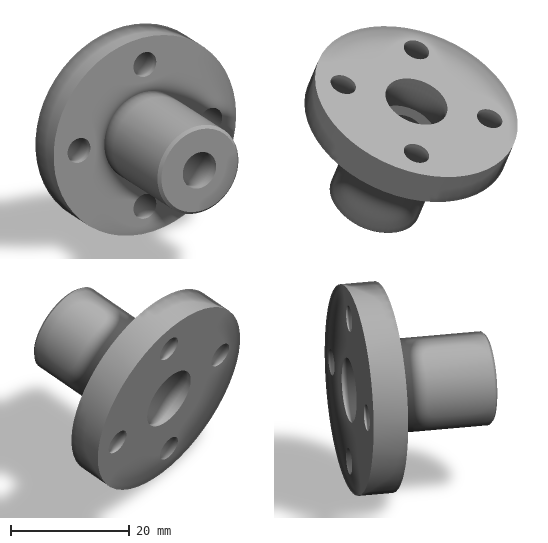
import cadquery as cq

flange_diameter = 36.0
flange_thickness = 6.0

sleeve_diameter = 16.0
overall_length = 24.0
sleeve_length = overall_length - flange_thickness
end_chamfer = 0.5

bore_diameter = 6.6
counterbore_diameter = 11.0
counterbore_depth = 6.5

bolt_hole_diameter = 4.5
bolt_circle_radius = 13.0
bolt_hole_count = 4


def cylinder_along_x(diameter, start, length):
    """Solid cylinder on the X axis, from start towards +X."""
    return cq.Workplane("YZ", origin=(start, 0, 0)).circle(diameter / 2).extrude(length)


flange = cylinder_along_x(flange_diameter, 0, flange_thickness)
sleeve = cylinder_along_x(sleeve_diameter, flange_thickness, sleeve_length)
sleeve = sleeve.faces(">X").chamfer(end_chamfer)

bore = cylinder_along_x(bore_diameter, 0, overall_length)
counterbore = cylinder_along_x(counterbore_diameter, 0, counterbore_depth)

bolt_holes = (
    cq.Workplane("YZ")
    .polarArray(bolt_circle_radius, 0, 360, bolt_hole_count)
    .circle(bolt_hole_diameter / 2)
    .extrude(flange_thickness)
)

result = flange.union(sleeve).cut(bore).cut(counterbore).cut(bolt_holes)